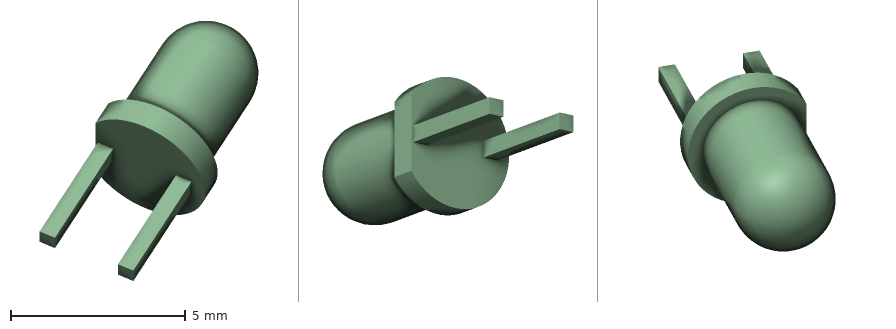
import cadquery as cq

total_length = 8.9
body_radius = 1.5
flange_radius = 1.95
flange_thickness = 0.8
flat_distance = 1.59
lead_length = 3.6
lead_width = 0.5
lead_pitch = 2.54

body_end = total_length - lead_length - body_radius
dome_tip = body_end + body_radius


def make_body():
    """Half profile of cylinder and dome, revolved about the Y axis."""
    return (
        cq.Workplane("XY")
        .lineTo(body_radius, 0)
        .lineTo(body_radius, body_end)
        .radiusArc((0, dome_tip), -body_radius)
        .close()
        .revolve(360, (0, 0), (0, 1))
    )


def make_flange():
    """Round disc cut off by a flat on the -X side."""
    disc = cq.Workplane("XZ").circle(flange_radius).extrude(-flange_thickness)
    kept_side = cq.Workplane("XY").box(
        flat_distance + flange_radius,
        flange_thickness,
        2 * flange_radius,
        centered=(False, False, True),
    ).translate((-flat_distance, 0, 0))
    return disc.intersect(kept_side)


def make_leads():
    """Two square leads running toward -Y."""
    lead_centres = [(-lead_pitch / 2, 0), (lead_pitch / 2, 0)]
    return (
        cq.Workplane("XZ")
        .pushPoints(lead_centres)
        .rect(lead_width, lead_width)
        .extrude(lead_length)
    )


result = make_body().union(make_flange()).union(make_leads())